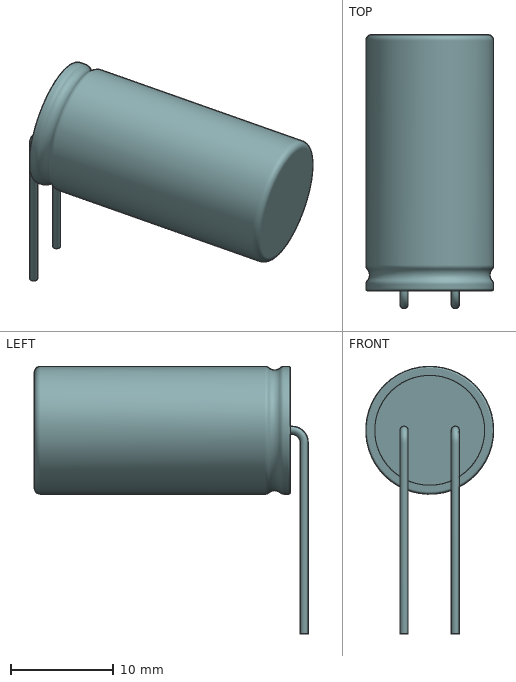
import cadquery as cq
import math

can_diameter = 12.5
can_length = 25.0
can_radius = can_diameter / 2
closed_end_fillet = 0.62
rim_fillet = 0.21

groove_center = 1.55
groove_half_width = 0.9
groove_valley_half_width = 0.55
groove_depth = 0.35

recess_diameter = 10.73
recess_depth = 0.08

lead_diameter = 0.8
lead_pitch = 5.0
overall_length = 26.75
lead_reach = overall_length - can_length
lead_bend_radius = 1.2
overall_height = 26.1
lead_tip_z = can_radius - overall_height
lead_embed = 0.54


def make_can():
    """Can revolved around Y, with a groove whose rounded shoulders flow into a round valley."""
    turn = 2 * math.atan(groove_depth / groove_half_width)
    shoulder_width = groove_half_width - groove_valley_half_width
    shoulder_radius = shoulder_width / math.sin(turn)
    shoulder_drop = shoulder_radius * (1 - math.cos(turn))
    mid_drop = shoulder_radius * (1 - math.cos(turn / 2))
    mid_offset = groove_half_width - shoulder_radius * math.sin(turn / 2)

    def groove_point(drop, offset):
        return (can_radius - drop, groove_center + offset)

    profile = (
        cq.Workplane("XY")
        .lineTo(can_radius, 0)
        .lineTo(*groove_point(0, -groove_half_width))
        .threePointArc(
            groove_point(mid_drop, -mid_offset),
            groove_point(shoulder_drop, -groove_valley_half_width),
        )
        .threePointArc(
            groove_point(groove_depth, 0),
            groove_point(shoulder_drop, groove_valley_half_width),
        )
        .threePointArc(
            groove_point(mid_drop, mid_offset),
            groove_point(0, groove_half_width),
        )
        .lineTo(can_radius, can_length)
        .lineTo(0, can_length)
        .close()
    )
    can = profile.revolve(360, (0, 0, 0), (0, 1, 0))
    can = can.faces(">Y").edges().fillet(closed_end_fillet)
    return can.faces("<Y").edges().fillet(rim_fillet)


def make_recess():
    return cq.Workplane("XZ").circle(recess_diameter / 2).extrude(-recess_depth)


def make_lead(x):
    """Wire that leaves the sealed face along -Y and bends down to -Z."""
    wire_y = lead_diameter / 2 - lead_reach
    bend_start_y = wire_y + lead_bend_radius
    bend_inset = lead_bend_radius * (1 - math.sqrt(0.5))
    path = (
        cq.Workplane("YZ", origin=(x, 0, 0))
        .moveTo(lead_embed, 0)
        .lineTo(bend_start_y, 0)
        .threePointArc((wire_y + bend_inset, -bend_inset), (wire_y, -lead_bend_radius))
        .lineTo(wire_y, lead_tip_z)
    )
    section = cq.Workplane("XZ", origin=(x, lead_embed, 0)).circle(lead_diameter / 2)
    return section.sweep(path)


result = make_can().cut(make_recess())
for side in (-1, 1):
    result = result.union(make_lead(side * lead_pitch / 2))